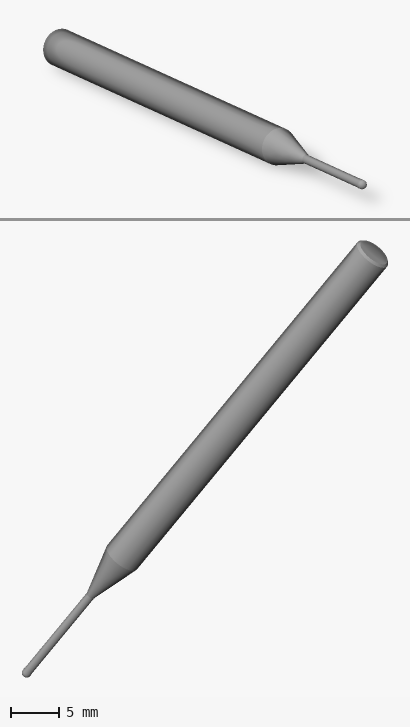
import cadquery as cq
import math


overall_length = 63.0
shank_diameter = 4.0
shank_chamfer = 0.25
cutter_diameter = 1.0
cutter_length = 0.8
neck_diameter = 0.95
reach = 12.0
cone_half_angle = 15.0

shank_radius = shank_diameter / 2
cutter_radius = cutter_diameter / 2
neck_radius = neck_diameter / 2

cone_end = overall_length - reach
cone_length = (shank_radius - neck_radius) / math.tan(math.radians(cone_half_angle))
shank_end = cone_end - cone_length
neck_end = overall_length - cutter_length
ball_center = overall_length - cutter_radius

half_arc = cutter_radius * math.sin(math.radians(45))


def tool_profile():
    """Half section of the tool, from the shank back to the ball tip."""
    return (
        cq.Workplane("XY")
        .moveTo(0, 0)
        .lineTo(0, shank_radius - shank_chamfer)
        .lineTo(shank_chamfer, shank_radius)
        .lineTo(shank_end, shank_radius)
        .lineTo(cone_end, neck_radius)
        .lineTo(neck_end, neck_radius)
        .lineTo(neck_end, cutter_radius)
        .lineTo(ball_center, cutter_radius)
        .threePointArc((ball_center + half_arc, half_arc), (overall_length, 0))
        .close()
    )


result = tool_profile().revolve(360, (0, 0, 0), (1, 0, 0))